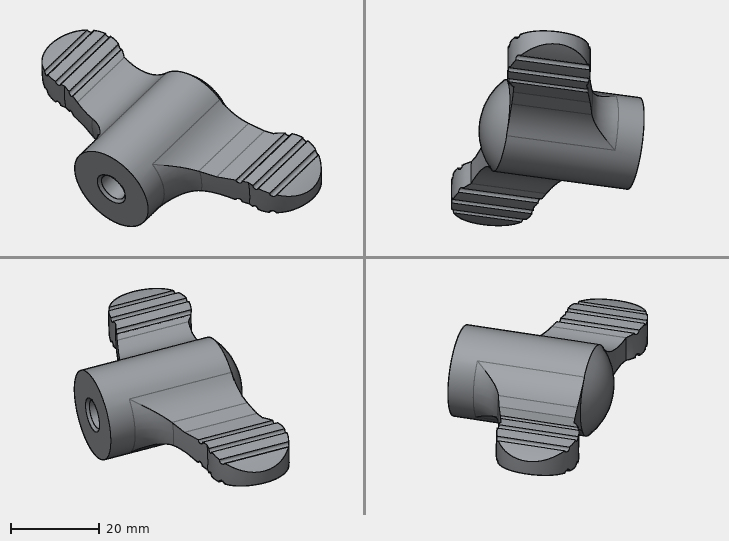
import cadquery as cq
import math

hub_radius = 10.5
hub_length = 31.2
overall_length = 35.6
dome_height = overall_length - hub_length
dome_radius = (hub_radius**2 + dome_height**2) / (2 * dome_height)

bore_diameter = 6.65
bore_mouth_diameter = 8.0
bore_depth = 20.0

wing_reach = 37.49
pad_radius = 9.35
pad_center_r = wing_reach - pad_radius
pad_center_y = overall_length - pad_radius
pad_start_r = 26.45
front_slope = math.radians(19.3)
front_fillet = 7.7
back_end_r = 21.5
back_radius = 113.0
wing_root_r = 6.0

blend_radius = 13.25
upper_contact_x = 7.1
lower_contact_x = 8.25
upper_blend_end_x = 14.8
waist_x = 18.9
waist_z = 3.95
upper_pad_start_x = 23.3
lower_pad_start_x = 21.4
upper_crest_x = 26.7
upper_crest_z = 4.63
upper_crown_radius = 26.6
lower_crest_x = pad_center_r
lower_crest_z = -2.4
lower_crown_radius = 32.0
profile_end_x = wing_reach + 1.0

groove_radius = 0.7
groove_pitch = 4.2


def upper_crown(x):
    rise = math.sqrt(upper_crown_radius**2 - (x - upper_crest_x) ** 2)
    return x, upper_crest_z - upper_crown_radius + rise


def lower_crown(x):
    rise = math.sqrt(lower_crown_radius**2 - (x - lower_crest_x) ** 2)
    return x, lower_crest_z + lower_crown_radius - rise


def hub_blend(contact_x, end_x, side):
    """Start, middle and end of a blend arc touching the hub; side is 1 above, -1 below."""
    contact_z = side * math.sqrt(hub_radius**2 - contact_x**2)
    stretch = (hub_radius + blend_radius) / hub_radius
    center_x = contact_x * stretch
    center_z = contact_z * stretch

    def on_arc(x):
        return x, center_z - side * math.sqrt(blend_radius**2 - (x - center_x) ** 2)

    return on_arc(contact_x), on_arc((contact_x + end_x) / 2), on_arc(end_x)


def make_hub():
    dome_center_y = overall_length - dome_radius
    dome_mid_r = hub_radius / 2
    dome_mid_y = dome_center_y + math.sqrt(dome_radius**2 - dome_mid_r**2)
    return (
        cq.Workplane("XY")
        .lineTo(hub_radius, 0)
        .lineTo(hub_radius, hub_length)
        .threePointArc((dome_mid_r, dome_mid_y), (0, overall_length))
        .close()
        .revolve(360, (0, 0), (0, 1))
    )


def make_wing_ring():
    """The wing outline turned a full turn about the hub axis."""
    pad_start_y = pad_center_y - math.sqrt(pad_radius**2 - (pad_start_r - pad_center_r) ** 2)
    back_end_y = pad_center_y + math.sqrt(pad_radius**2 - (back_end_r - pad_center_r) ** 2)
    back_center_y = back_end_y + math.sqrt(back_radius**2 - back_end_r**2)

    def back_edge(r):
        return r, back_center_y - math.sqrt(back_radius**2 - r**2)

    corner_y = pad_start_y - (pad_start_r - hub_radius) * math.tan(front_slope)
    half_angle = (math.pi / 2 - front_slope) / 2
    tangent_length = front_fillet * math.tan(half_angle)
    fillet_start_y = corner_y - tangent_length
    fillet_end_r = hub_radius + tangent_length * math.cos(front_slope)
    fillet_end_y = corner_y + tangent_length * math.sin(front_slope)
    fillet_mid_r = hub_radius + front_fillet * (1 - math.cos(half_angle))
    fillet_mid_y = fillet_start_y + front_fillet * math.sin(half_angle)

    return (
        cq.Workplane("XY")
        .moveTo(wing_root_r, fillet_start_y)
        .lineTo(hub_radius, fillet_start_y)
        .threePointArc((fillet_mid_r, fillet_mid_y), (fillet_end_r, fillet_end_y))
        .lineTo(pad_start_r, pad_start_y)
        .threePointArc((pad_center_r + pad_radius, pad_center_y), (back_end_r, back_end_y))
        .threePointArc(back_edge((back_end_r + wing_root_r) / 2), back_edge(wing_root_r))
        .close()
        .revolve(360, (0, 0), (0, 1))
    )


def make_wing_slab():
    """The grooved thickness profile of the +X wing, drawn through the whole length."""
    upper_start, upper_mid, upper_end = hub_blend(upper_contact_x, upper_blend_end_x, 1)
    lower_start, lower_mid, _ = hub_blend(lower_contact_x, lower_pad_start_x, -1)
    slab = (
        cq.Workplane("XZ", origin=(0, overall_length, 0))
        .lineTo(*upper_start)
        .threePointArc(upper_mid, upper_end)
        .lineTo(waist_x, waist_z)
        .lineTo(*upper_crown(upper_pad_start_x))
        .threePointArc(upper_crown(pad_center_r), upper_crown(profile_end_x))
        .lineTo(*lower_crown(profile_end_x))
        .threePointArc(lower_crown(pad_center_r), lower_crown(lower_pad_start_x))
        .threePointArc(lower_mid, lower_start)
        .close()
        .extrude(overall_length)
    )
    groove_centers = []
    for step in (-1, 0, 1):
        groove_x = pad_center_r + step * groove_pitch
        groove_centers += [upper_crown(groove_x), lower_crown(groove_x)]
    grooves = (
        cq.Workplane("XZ", origin=(0, overall_length, 0))
        .pushPoints(groove_centers)
        .circle(groove_radius)
        .extrude(overall_length)
    )
    return slab.cut(grooves)


def make_bore():
    bore_radius = bore_diameter / 2
    mouth_radius = bore_mouth_diameter / 2
    return (
        cq.Workplane("XY")
        .lineTo(mouth_radius, 0)
        .lineTo(bore_radius, mouth_radius - bore_radius)
        .lineTo(bore_radius, bore_depth)
        .lineTo(0, bore_depth)
        .close()
        .revolve(360, (0, 0), (0, 1))
    )


wing = make_wing_slab().intersect(make_wing_ring())
opposite_wing = wing.rotate((0, 0, 0), (0, 1, 0), 180)
result = make_hub().union(wing).union(opposite_wing).cut(make_bore())